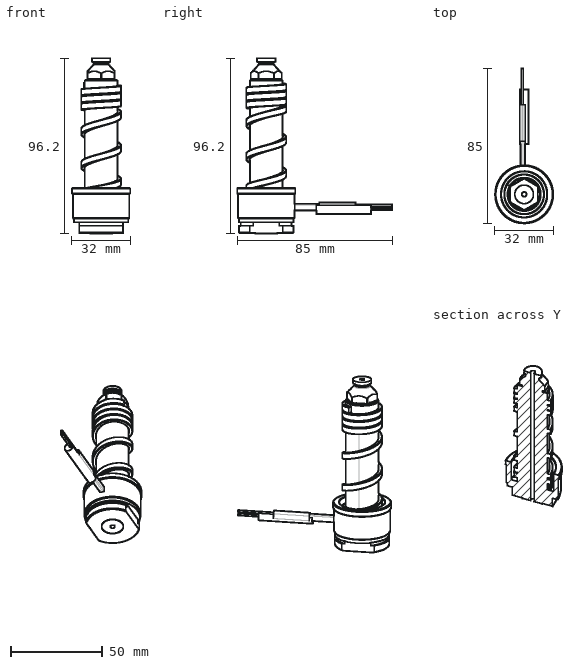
import cadquery as cq
import math

TOTAL_HEIGHT = 96.2
EDGE_CHAMFER = 0.5
FINE_CHAMFER = 0.3
OVERLAP = 0.5

SPIGOT_RADIUS = 6.0
SPIGOT_HEIGHT = 0.3
PLUG_RADIUS = 15.0
PLUG_TOP = 4.35
GROOVE_RADIUS = 14.0
GROOVE_TOP = 6.3
COLLAR_TOP = 8.2
FLATS_WIDTH = 24.0

CUP_RADIUS = 15.5
CUP_BEVEL_TOP = COLLAR_TOP + EDGE_CHAMFER
FLANGE_RADIUS = 16.0
FLANGE_BOTTOM = 22.2
FLANGE_TOP = 25.2
CAVITY_RADIUS = 12.5
CAVITY_FLOOR = 12.0

TUBE_RADIUS = 9.0
TUBE_TOP = 84.3
BORE_DIAMETER = 2.5

NECK_RADIUS = 6.2
HEX_BOTTOM = 84.8
HEX_ACROSS_FLATS = 15.0
HEX_CORNER_RADIUS = 8.5
CONE_TOP = 92.4
CONE_TOP_RADIUS = 4.4
CONE_BOTTOM = 88.0
WAIST_RADIUS = 4.0
WAIST_BOTTOM = 92.9
WAIST_TOP = 93.3
UNDERCUT_RADIUS = 4.3
UNDERCUT_TOP = 93.9
TIP_RADIUS = 5.1
TIP_BOTTOM = 94.3

COIL_RADIUS = 11.0
COIL_EMBED = 0.1
COIL_ROOT = TUBE_RADIUS - COIL_EMBED
COIL_HEIGHT = 3.6
TIGHT_PITCH = 3.9
OPEN_PITCH = 18.4
TOP_TIGHT_TURNS = 3.05
BOTTOM_TIGHT_TURNS = 1.8
OPEN_TURNS = 3.08
TOP_EASE_TURNS = 0.4
BOTTOM_EASE_TURNS = 0.8
COIL_TURNS = BOTTOM_TIGHT_TURNS + OPEN_TURNS + TOP_TIGHT_TURNS
COIL_END_ANGLE = 150.0
COIL_END_HEIGHT = 81.0
COIL_STEPS = 240

CABLE_END = 69.0
WIRE_DIAMETER = 1.2
WIRE_X = -1.0
WIRE_HEIGHT = 14.6
WIRE_SPACING = 2.0
SHEATH_WIDTH = 2.5
SHEATH_HEIGHT = 3.8
SHEATH_X = -0.75
SHEATH_FILLET = 0.6
SHEATH_START = 14.0
WRAP_WIDTH = 3.0
WRAP_HEIGHT = 5.1
WRAP_FILLET = 1.2
WRAP_START = 29.0
WRAP_LENGTH = 20.0
SLEEVE_RADIUS = 2.5
SLEEVE_HEIGHT = 13.2
SLEEVE_START = 27.5
SLEEVE_LENGTH = 30.0


def revolve_profile(points):
    """Turn a closed (radius, height) outline round the Z axis, starting from the -X side."""
    outline = [(-radius, height) for radius, height in points]
    return cq.Workplane("XZ").polyline(outline).close().revolve(360, (0, 0, 0), (0, 1, 0))


def make_plug():
    plug = revolve_profile([
        (0, SPIGOT_HEIGHT),
        (PLUG_RADIUS - EDGE_CHAMFER, SPIGOT_HEIGHT),
        (PLUG_RADIUS, SPIGOT_HEIGHT + EDGE_CHAMFER),
        (PLUG_RADIUS, PLUG_TOP),
        (GROOVE_RADIUS, PLUG_TOP),
        (GROOVE_RADIUS, GROOVE_TOP),
        (0, GROOVE_TOP),
    ])
    flats = cq.Workplane("XY").box(
        FLATS_WIDTH, 2 * PLUG_RADIUS, GROOVE_TOP, centered=(True, True, False))
    spigot = cq.Workplane("XY").circle(SPIGOT_RADIUS).extrude(GROOVE_TOP)
    return plug.intersect(flats).union(spigot)


def make_cup():
    return revolve_profile([
        (0, GROOVE_TOP),
        (PLUG_RADIUS, GROOVE_TOP),
        (PLUG_RADIUS, COLLAR_TOP),
        (CUP_RADIUS, CUP_BEVEL_TOP),
        (CUP_RADIUS, FLANGE_BOTTOM - EDGE_CHAMFER),
        (FLANGE_RADIUS, FLANGE_BOTTOM),
        (FLANGE_RADIUS, FLANGE_TOP - EDGE_CHAMFER),
        (FLANGE_RADIUS - EDGE_CHAMFER, FLANGE_TOP),
        (CAVITY_RADIUS + FINE_CHAMFER, FLANGE_TOP),
        (CAVITY_RADIUS, FLANGE_TOP - FINE_CHAMFER),
        (CAVITY_RADIUS, CAVITY_FLOOR),
        (0, CAVITY_FLOOR),
    ])


def make_tube():
    return revolve_profile([
        (0, CAVITY_FLOOR - OVERLAP),
        (TUBE_RADIUS, CAVITY_FLOOR - OVERLAP),
        (TUBE_RADIUS, TUBE_TOP - EDGE_CHAMFER),
        (TUBE_RADIUS - EDGE_CHAMFER, TUBE_TOP),
        (0, TUBE_TOP),
    ])


def make_nozzle():
    turned = revolve_profile([
        (0, HEX_BOTTOM),
        (HEX_CORNER_RADIUS, HEX_BOTTOM),
        (HEX_CORNER_RADIUS, CONE_BOTTOM),
        (CONE_TOP_RADIUS, CONE_TOP),
        (WAIST_RADIUS, WAIST_BOTTOM),
        (WAIST_RADIUS, WAIST_TOP),
        (UNDERCUT_RADIUS, UNDERCUT_TOP),
        (TIP_RADIUS, TIP_BOTTOM),
        (TIP_RADIUS, TOTAL_HEIGHT),
        (0, TOTAL_HEIGHT),
    ])
    hexagon = (
        cq.Workplane("XY", origin=(0, 0, HEX_BOTTOM))
        .polygon(6, HEX_ACROSS_FLATS, circumscribed=True)
        .extrude(TOTAL_HEIGHT - HEX_BOTTOM)
    )
    neck = (
        cq.Workplane("XY", origin=(0, 0, TUBE_TOP - OVERLAP))
        .circle(NECK_RADIUS)
        .extrude(HEX_BOTTOM - TUBE_TOP + 2 * OVERLAP)
    )
    return turned.intersect(hexagon).union(neck)


def eased(turns, ease_turns):
    """Integral of a ramp that climbs from 0 to 1 over ease_turns."""
    if turns <= 0:
        return 0.0
    if turns < ease_turns:
        return turns ** 2 / (2 * ease_turns)
    return turns - ease_turns / 2


def coil_drop(turns):
    """Height lost after a number of turns down from the top end."""
    since_opening = turns - TOP_TIGHT_TURNS
    since_closing = since_opening - OPEN_TURNS + BOTTOM_EASE_TURNS
    opened = eased(since_opening, TOP_EASE_TURNS) - eased(since_closing, BOTTOM_EASE_TURNS)
    return TIGHT_PITCH * turns + (OPEN_PITCH - TIGHT_PITCH) * opened


def coil_edge(radius, offset):
    """Edge that runs the whole length of the coil, offset up from its mid-height."""
    points = []
    for step in range(COIL_STEPS + 1):
        turns = COIL_TURNS * step / COIL_STEPS
        angle = math.radians(COIL_END_ANGLE) - 2 * math.pi * turns
        height = COIL_END_HEIGHT - coil_drop(turns) + offset
        points.append(cq.Vector(radius * math.cos(angle), radius * math.sin(angle), height))
    return cq.Edge.makeSpline(points)


def make_coil():
    """Solid bounded by ruled faces between the long edges and a flat cap at each end."""
    half = COIL_HEIGHT / 2
    corners = [
        (COIL_ROOT, -half + FINE_CHAMFER),
        (COIL_ROOT + FINE_CHAMFER, -half),
        (COIL_RADIUS - FINE_CHAMFER, -half),
        (COIL_RADIUS, -half + FINE_CHAMFER),
        (COIL_RADIUS, half - FINE_CHAMFER),
        (COIL_RADIUS - FINE_CHAMFER, half),
        (COIL_ROOT + FINE_CHAMFER, half),
        (COIL_ROOT, half - FINE_CHAMFER),
    ]
    edges = [coil_edge(radius, offset) for radius, offset in corners]
    faces = []
    for index, edge in enumerate(edges):
        faces.append(cq.Face.makeRuledSurface(edges[index - 1], edge))
    for end in (0, 1):
        outline = [edge.positionAt(end) for edge in edges]
        faces.append(cq.Face.makeFromWires(cq.Wire.makePolygon(outline, close=True)))
    return cq.Workplane(cq.Solid.makeSolid(cq.Shell.makeShell(faces)).fix())


def rod_along_y(x, z, start, end, radius):
    return cq.Workplane("XZ", origin=(x, start, z)).circle(radius).extrude(start - end)


def rounded_bar_along_y(x, start, end, width, height, fillet):
    bar = cq.Workplane("XZ", origin=(x, start, WIRE_HEIGHT)).rect(width, height).extrude(start - end)
    return bar.edges("|Y").fillet(fillet)


def make_cable():
    cable = rounded_bar_along_y(
        SHEATH_X, SHEATH_START, WRAP_START + OVERLAP, SHEATH_WIDTH, SHEATH_HEIGHT, SHEATH_FILLET)
    wrap = rounded_bar_along_y(
        WIRE_X, WRAP_START, WRAP_START + WRAP_LENGTH, WRAP_WIDTH, WRAP_HEIGHT, WRAP_FILLET)
    sleeve = rod_along_y(
        0, SLEEVE_HEIGHT, SLEEVE_START, SLEEVE_START + SLEEVE_LENGTH, SLEEVE_RADIUS)
    cable = cable.union(wrap).union(sleeve)
    for side in (-1, 1):
        wire_z = WIRE_HEIGHT + side * WIRE_SPACING / 2
        wire = rod_along_y(WIRE_X, wire_z, WRAP_START + OVERLAP, CABLE_END, WIRE_DIAMETER / 2)
        cable = cable.union(wire)
    return cable


def make_bore():
    return cq.Workplane("XY").circle(BORE_DIAMETER / 2).extrude(TOTAL_HEIGHT)


body = make_tube().union(make_coil())
for part in (make_plug(), make_cup(), make_nozzle(), make_cable()):
    body = body.union(part)
result = body.cut(make_bore())